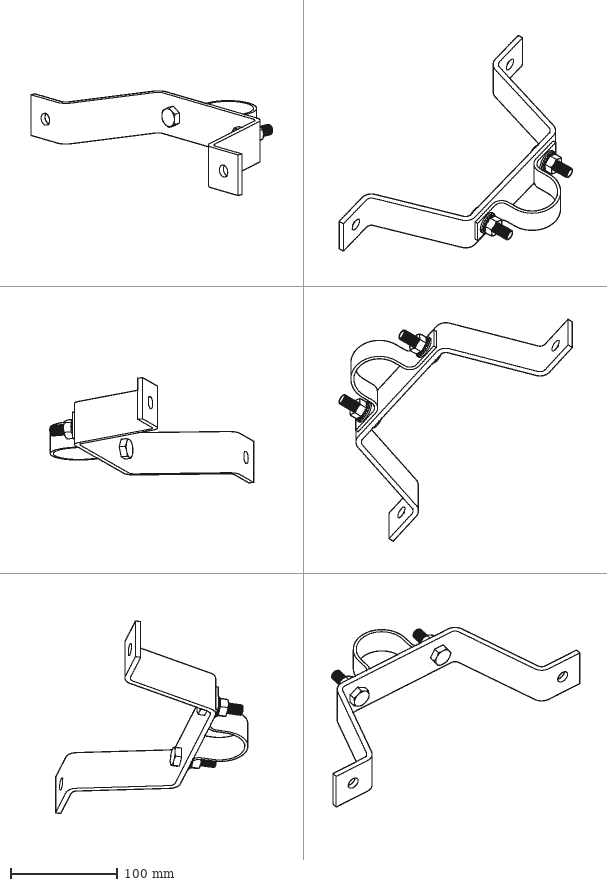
import cadquery as cq
import math

STRAP_LENGTH = 285.0
STRAP_WIDTH = 40.0
STRAP_THICKNESS = 5.0
STRAP_HEIGHT = 100.0
STRAP_BEND_RADIUS = 6.0
BRIDGE_LENGTH = 124.3
FOOT_LENGTH = 36.5
FOOT_HOLE_DIAMETER = 11.5
FOOT_HOLE_END_DISTANCE = 20.0

CLAMP_WIDTH = 25.0
CLAMP_RISE = 48.0
CLAMP_OUTER_DIAMETER = 54.0
CLAMP_BORE = 48.0
CLAMP_THICKNESS = (CLAMP_OUTER_DIAMETER - CLAMP_BORE) / 2
CLAMP_ARCH_RADIUS = CLAMP_OUTER_DIAMETER / 2
CLAMP_BEND_RADIUS = 8.0

BOLT_SPACING = 95.2
BOLT_DIAMETER = 10.0
BOLT_PROTRUSION = 30.0
BOLT_TIP_CHAMFER = 0.7
BOLT_HEAD_FLATS = 17.0
BOLT_HEAD_HEIGHT = 6.5
THREAD_PITCH = 1.5
THREAD_DEPTH = 0.9
THREAD_ANGLE = 60.0
THREAD_TURNS = 15
NUT_FLATS = 16.0
NUT_HEIGHT = 8.0
HEX_CHAMFER_ANGLE = 30.0
WASHER_DIAMETER = 21.0
WASHER_THICKNESS = 1.7
LOCK_WASHER_DIAMETER = 18.2
LOCK_WASHER_HEIGHT = 2.0
LOCK_WASHER_RING_DIAMETER = 14.2
LOCK_WASHER_RING_THICKNESS = 0.9
LOCK_TOOTH_COUNT = 18
LOCK_TOOTH_THICKNESS = 0.7
LOCK_TOOTH_TILT = 60.0

BRIDGE_UNDERSIDE = STRAP_HEIGHT - STRAP_THICKNESS
FLANGE_TOP = STRAP_HEIGHT + CLAMP_THICKNESS
LOCK_WASHER_BASE = FLANGE_TOP + WASHER_THICKNESS
NUT_BASE = LOCK_WASHER_BASE + LOCK_WASHER_HEIGHT
BOLT_POSITIONS = (-BOLT_SPACING / 2, BOLT_SPACING / 2)
BOLT_HEAD_TURNS = (0.0, 30.0)


def bent_strip(start, steps, thickness, width):
    """Bend a flat bar along a path that starts toward +X.

    Each step is (length, 0) for a straight or (middle radius, angle) for a bend,
    with positive angles turning left. The bar is centred on Z = 0.
    """
    half = thickness / 2
    x, y = start
    heading = 0.0

    def sides(px, py, angle):
        nx, ny = -math.sin(angle) * half, math.cos(angle) * half
        return (px + nx, py + ny), (px - nx, py - ny)

    def advance(size, turn, share):
        """Point and heading after the given share of a step."""
        if turn == 0:
            dx, dy = size * share * math.cos(heading), size * share * math.sin(heading)
            return x + dx, y + dy, heading
        radius = math.copysign(size, turn)
        end = heading + turn * share
        dx = radius * (math.sin(end) - math.sin(heading))
        dy = radius * (math.cos(heading) - math.cos(end))
        return x + dx, y + dy, end

    stations = [sides(x, y, heading)]
    middles = []
    for size, turn_degrees in steps:
        turn = math.radians(turn_degrees)
        middles.append(sides(*advance(size, turn, 0.5)) if turn else None)
        x, y, heading = advance(size, turn, 1.0)
        stations.append(sides(x, y, heading))

    left, right = 0, 1
    outline = cq.Workplane("XY").moveTo(*stations[0][left])
    for middle, station in zip(middles, stations[1:]):
        if middle:
            outline = outline.threePointArc(middle[left], station[left])
        else:
            outline = outline.lineTo(*station[left])
    outline = outline.lineTo(*stations[-1][right])
    for middle, station in zip(reversed(middles), reversed(stations[:-1])):
        if middle:
            outline = outline.threePointArc(middle[right], station[right])
        else:
            outline = outline.lineTo(*station[right])
    return outline.close().extrude(width / 2, both=True)


def along_y(body, x, base):
    """Stand a body built along +Z on the level `base`, pointing along +Y at `x`."""
    return body.rotate((0, 0, 0), (1, 0, 0), -90).translate((x, base, 0))


def drill(body, positions, diameter):
    """Drill holes along Y right through the body at the given X positions."""
    for x in positions:
        drill_bit = cq.Workplane("XY").circle(diameter / 2).extrude(STRAP_HEIGHT + CLAMP_RISE)
        body = body.cut(along_y(drill_bit, x, 0))
    return body


def make_strap():
    middle_radius = STRAP_BEND_RADIUS + STRAP_THICKNESS / 2
    run = (STRAP_LENGTH - BRIDGE_LENGTH) / 2 - FOOT_LENGTH
    rise = STRAP_HEIGHT - STRAP_THICKNESS
    offset = 2 * middle_radius
    leg = math.sqrt(run**2 + (rise - offset) ** 2 - offset**2)
    bend = math.degrees(math.atan2(rise - offset, run) + math.atan2(offset, leg))
    steps = [
        (FOOT_LENGTH, 0),
        (middle_radius, bend),
        (leg, 0),
        (middle_radius, -bend),
        (BRIDGE_LENGTH, 0),
        (middle_radius, -bend),
        (leg, 0),
        (middle_radius, bend),
        (FOOT_LENGTH, 0),
    ]
    start = (-STRAP_LENGTH / 2, STRAP_THICKNESS / 2)
    bar = bent_strip(start, steps, STRAP_THICKNESS, STRAP_WIDTH)
    foot_hole_x = STRAP_LENGTH / 2 - FOOT_HOLE_END_DISTANCE
    bar = drill(bar, (-foot_hole_x, foot_hole_x), FOOT_HOLE_DIAMETER)
    return drill(bar, BOLT_POSITIONS, BOLT_DIAMETER)


def make_clamp():
    half_thickness = CLAMP_THICKNESS / 2
    flange = BRIDGE_LENGTH / 2 - CLAMP_ARCH_RADIUS - CLAMP_BEND_RADIUS
    upright = CLAMP_RISE - CLAMP_ARCH_RADIUS - CLAMP_BEND_RADIUS - CLAMP_THICKNESS
    steps = [
        (flange, 0),
        (CLAMP_BEND_RADIUS + half_thickness, 90),
        (upright, 0),
        (CLAMP_ARCH_RADIUS - half_thickness, -180),
        (upright, 0),
        (CLAMP_BEND_RADIUS + half_thickness, 90),
        (flange, 0),
    ]
    start = (-BRIDGE_LENGTH / 2, STRAP_HEIGHT + half_thickness)
    band = bent_strip(start, steps, CLAMP_THICKNESS, CLAMP_WIDTH)
    return drill(band, BOLT_POSITIONS, BOLT_DIAMETER)


def hexagon(flats, height):
    """Hexagonal prism along +Z with its corners toward +Y and -Y, chamfered on top."""
    corner_radius = flats / math.sqrt(3)
    chamfer_drop = (corner_radius - flats / 2) * math.tan(math.radians(HEX_CHAMFER_ANGLE))
    prism = cq.Workplane("XY").polygon(6, 2 * corner_radius).extrude(height)
    prism = prism.rotate((0, 0, 0), (0, 0, 1), 30)
    envelope = (
        cq.Workplane("XZ")
        .moveTo(0, 0)
        .lineTo(corner_radius, 0)
        .lineTo(corner_radius, height - chamfer_drop)
        .lineTo(flats / 2, height)
        .lineTo(0, height)
        .close()
        .revolve(360, (0, 0, 0), (0, 1, 0))
    )
    return prism.intersect(envelope)


def make_bolt(x, head_turn):
    radius = BOLT_DIAMETER / 2
    tip = STRAP_HEIGHT + BOLT_PROTRUSION - BRIDGE_UNDERSIDE
    thread_start = tip - BOLT_TIP_CHAMFER - THREAD_TURNS * THREAD_PITCH
    half_groove = THREAD_DEPTH * math.tan(math.radians(THREAD_ANGLE / 2))
    profile = cq.Workplane("XZ").moveTo(0, 0).lineTo(radius, 0)
    for turn in range(THREAD_TURNS):
        groove = thread_start + (turn + 0.5) * THREAD_PITCH
        profile = profile.lineTo(radius, groove - half_groove)
        profile = profile.lineTo(radius - THREAD_DEPTH, groove)
        profile = profile.lineTo(radius, groove + half_groove)
    profile = (
        profile.lineTo(radius, tip - BOLT_TIP_CHAMFER)
        .lineTo(radius - BOLT_TIP_CHAMFER, tip)
        .lineTo(0, tip)
        .close()
    )
    shank = profile.revolve(360, (0, 0, 0), (0, 1, 0))
    head = hexagon(BOLT_HEAD_FLATS, BOLT_HEAD_HEIGHT)
    head = head.rotate((0, 0, 0), (1, 0, 0), 180).rotate((0, 0, 0), (0, 0, 1), head_turn)
    return along_y(shank.union(head), x, BRIDGE_UNDERSIDE)


def make_nut(x):
    bore = cq.Workplane("XY").circle(BOLT_DIAMETER / 2).extrude(NUT_HEIGHT)
    return along_y(hexagon(NUT_FLATS, NUT_HEIGHT).cut(bore), x, NUT_BASE)


def make_flat_washer(x):
    disc = cq.Workplane("XY").circle(WASHER_DIAMETER / 2).circle(BOLT_DIAMETER / 2)
    return along_y(disc.extrude(WASHER_THICKNESS), x, FLANGE_TOP)


def make_lock_washer(x):
    """Ring with external teeth, each twisted about its own radial axis."""
    middle = LOCK_WASHER_HEIGHT / 2
    ring = (
        cq.Workplane("XY", origin=(0, 0, middle - LOCK_WASHER_RING_THICKNESS / 2))
        .circle(LOCK_WASHER_RING_DIAMETER / 2)
        .circle(BOLT_DIAMETER / 2)
        .extrude(LOCK_WASHER_RING_THICKNESS)
    )
    tilt = math.radians(LOCK_TOOTH_TILT)
    tooth_width = (LOCK_WASHER_HEIGHT - LOCK_TOOTH_THICKNESS * math.cos(tilt)) / math.sin(tilt)
    root = (BOLT_DIAMETER + LOCK_WASHER_RING_DIAMETER) / 4
    tooth_length = LOCK_WASHER_DIAMETER / 2 - root
    tooth = (
        cq.Workplane("XY")
        .box(tooth_length, tooth_width, LOCK_TOOTH_THICKNESS)
        .rotate((0, 0, 0), (1, 0, 0), LOCK_TOOTH_TILT)
        .translate((root + tooth_length / 2, 0, middle))
    )
    washer = ring
    for index in range(LOCK_TOOTH_COUNT):
        washer = washer.union(tooth.rotate((0, 0, 0), (0, 0, 1), index * 360 / LOCK_TOOTH_COUNT))
    return along_y(washer, x, LOCK_WASHER_BASE)


strap = make_strap()
clamp = make_clamp()
fasteners = []
for position, turn_angle in zip(BOLT_POSITIONS, BOLT_HEAD_TURNS):
    fasteners.append(make_bolt(position, turn_angle).val())
    for make_fastener in (make_flat_washer, make_lock_washer, make_nut):
        fasteners.append(make_fastener(position).val())

result = cq.Compound.makeCompound([strap.val(), clamp.val(), *fasteners])